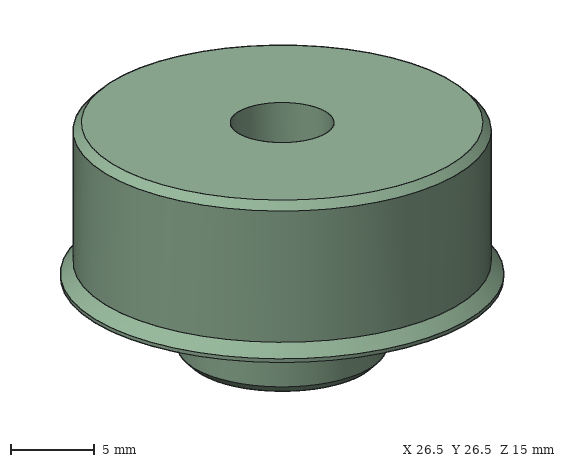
import cadquery as cq

flange_diameter = 26.5
body_diameter = 25.0
stem_diameter = 12.5
bore_diameter = 6.2
total_height = 15.0
stem_height = 5.0
rim_height = 0.25
edge_chamfer = 0.5

taper_height = (flange_diameter - body_diameter) / 2
body_height = total_height - stem_height


def disc(diameter, height, base_z):
    """Upright cylinder on the Z axis, starting at base_z."""
    return cq.Workplane("XY").workplane(offset=base_z).circle(diameter / 2).extrude(height)


stem = disc(stem_diameter, stem_height, 0).faces("<Z").chamfer(edge_chamfer)

body = disc(body_diameter, body_height, stem_height).faces(">Z").chamfer(edge_chamfer)

flange = disc(flange_diameter, rim_height + taper_height, stem_height)
flange = flange.faces(">Z").chamfer(taper_height)

bore = disc(bore_diameter, total_height, 0)

result = stem.union(body).union(flange).cut(bore)